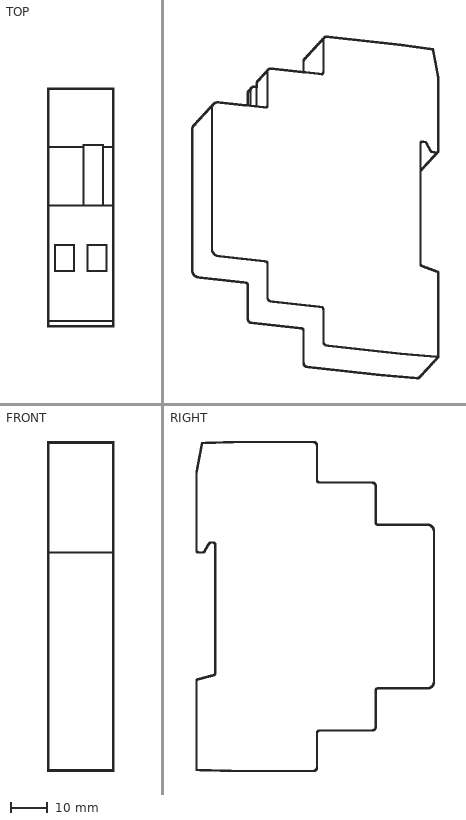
import cadquery as cq

WIDTH = 17.8
DEPTH = 65.0
HEIGHT = 90.0
TOP = HEIGHT / 2
MOUNT_Y = -DEPTH / 2
NOSE_Y = DEPTH / 2

TERMINAL_Y = MOUNT_Y + 33.0
SHOULDER_Y = MOUNT_Y + 49.05
SHOULDER_Z = 33.9
NOSE_Z = 22.4

TAPER_LENGTH = 11.0
TAPER_DROP = 0.3
CHAMFER_DEPTH = 1.5
CHAMFER_Z = 36.6

RAIL_Y = MOUNT_Y + 5.1
RAIL_TOP = 17.5
HOOK_TIP_Z = 14.8
HOOK_TIP_WIDTH = 2.1
HOOK_ROOT_WIDTH = 3.6
RAIL_BOTTOM = -18.6
RAIL_RAMP_Z = -20.0

NOSE_RADIUS = 1.9
STEP_RADIUS = 1.1
INNER_RADIUS = 0.5
RAIL_RADIUS = 0.5
RAMP_RADIUS = 0.4

GROOVE_WIDTH = 5.4
GROOVE_X = 3.4
GROOVE_FLOOR_Z = NOSE_Z - 0.9

OPENING_X = 5.1
OPENING_Y = 7.1
OPENING_DEPTH = 9.0
OPENING_SPACING = 8.8
OPENING_CENTER_Y = MOUNT_Y + 18.7


def housing():
    """Extrude the side outline across the width and round its corners."""
    taper_y = MOUNT_Y + TAPER_LENGTH
    outline = [
        (MOUNT_Y, CHAMFER_Z),
        (MOUNT_Y + CHAMFER_DEPTH, TOP - TAPER_DROP),
        (taper_y, TOP),
        (TERMINAL_Y, TOP),
        (TERMINAL_Y, SHOULDER_Z),
        (SHOULDER_Y, SHOULDER_Z),
        (SHOULDER_Y, NOSE_Z),
        (NOSE_Y, NOSE_Z),
        (NOSE_Y, -NOSE_Z),
        (SHOULDER_Y, -NOSE_Z),
        (SHOULDER_Y, -SHOULDER_Z),
        (TERMINAL_Y, -SHOULDER_Z),
        (TERMINAL_Y, -TOP),
        (taper_y, -TOP),
        (MOUNT_Y, -TOP + TAPER_DROP),
        (MOUNT_Y, RAIL_RAMP_Z),
        (RAIL_Y, RAIL_BOTTOM),
        (RAIL_Y, RAIL_TOP),
        (MOUNT_Y + HOOK_ROOT_WIDTH, RAIL_TOP),
        (MOUNT_Y + HOOK_TIP_WIDTH, HOOK_TIP_Z),
        (MOUNT_Y, HOOK_TIP_Z),
    ]
    body = cq.Workplane("YZ").polyline(outline).close().extrude(WIDTH / 2, both=True)

    def round_corners(solid, corners, radius):
        for y, z in corners:
            edge = cq.selectors.NearestToPointSelector((0, y, z))
            solid = solid.edges("|X").edges(edge).fillet(radius)
        return solid

    for side in (1, -1):
        body = round_corners(body, [(NOSE_Y, side * NOSE_Z)], NOSE_RADIUS)
        outer_corners = [(SHOULDER_Y, side * SHOULDER_Z), (TERMINAL_Y, side * TOP)]
        body = round_corners(body, outer_corners, STEP_RADIUS)
        inner_corners = [(SHOULDER_Y, side * NOSE_Z), (TERMINAL_Y, side * SHOULDER_Z)]
        body = round_corners(body, inner_corners, INNER_RADIUS)

    rail_corners = [
        (RAIL_Y, RAIL_BOTTOM),
        (RAIL_Y, RAIL_TOP),
        (MOUNT_Y + HOOK_ROOT_WIDTH, RAIL_TOP),
        (MOUNT_Y + HOOK_TIP_WIDTH, HOOK_TIP_Z),
        (MOUNT_Y, HOOK_TIP_Z),
    ]
    body = round_corners(body, rail_corners, RAIL_RADIUS)
    return round_corners(body, [(MOUNT_Y, RAIL_RAMP_Z)], RAMP_RADIUS)


def shoulder_groove():
    """Cutter for the shoulder, reaching past its inner roundings and just below the nose face."""
    length = SHOULDER_Y + INNER_RADIUS - TERMINAL_Y
    depth = SHOULDER_Z + INNER_RADIUS - GROOVE_FLOOR_Z
    groove = cq.Workplane("XY").box(GROOVE_WIDTH, length, depth, centered=(True, False, False))
    return groove.translate((GROOVE_X, TERMINAL_Y, GROOVE_FLOOR_Z))


def terminal_openings():
    """Cutters for two blind rectangular openings in the top face."""
    centers = [(side * OPENING_SPACING / 2, OPENING_CENTER_Y) for side in (-1, 1)]
    top_plane = cq.Workplane("XY").workplane(offset=TOP)
    return top_plane.pushPoints(centers).rect(OPENING_X, OPENING_Y).extrude(-OPENING_DEPTH)


result = housing().cut(shoulder_groove()).cut(terminal_openings())